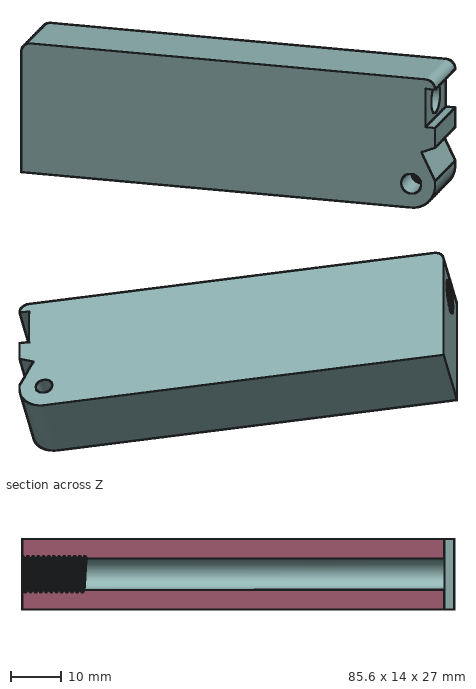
import cadquery as cq
import math

length = 85.6
width = 14.0
height = 27.0
top_radius = 2.0

catch_depth = 2.0
catch_height = 8.0
catch_top = height - top_radius
catch_bottom = catch_top - catch_height
tab_bottom = 12.9
vee_x = 82.8
vee_z = 11.7
flank_end_z = 6.0
pivot_radius = 5.0
pivot_x = length - pivot_radius
pivot_z = pivot_radius

pivot_hole_diameter = 3.3
pivot_counterbore_diameter = 4.1
pivot_counterbore_depth = width / 2

bore_drop = 6.0
bore_z = height - bore_drop
minor_diameter = 6.1
major_diameter = 7.1
thread_pitch = 1.0
thread_turns = 14
groove_mouth = 3 * thread_pitch / 4
groove_root = thread_pitch / 8
groove_overlap = 0.1
groove_lead_turns = 1.9
groove_lead_in = groove_lead_turns * thread_pitch


def on_circle(center_x, center_z, radius, angle):
    """Point on a circle in the XZ plane, angle in radians from +X towards +Z."""
    return (center_x + radius * math.cos(angle), center_z + radius * math.sin(angle))


def make_body():
    """Extrude the side outline with its catch, vee and rounded pivot nose."""
    nose_middle = on_circle(pivot_x, pivot_z, pivot_radius, math.radians(-45))
    left_arc_middle = on_circle(top_radius, catch_top, top_radius, math.radians(135))
    right_arc_middle = on_circle(length - top_radius, catch_top, top_radius, math.radians(45))
    outline = (
        cq.Workplane("XZ")
        .moveTo(0, 0)
        .lineTo(0, catch_top)
        .threePointArc(left_arc_middle, (top_radius, height))
        .lineTo(length - top_radius, height)
        .threePointArc(right_arc_middle, (length, catch_top))
        .lineTo(length - catch_depth, catch_top)
        .lineTo(length - catch_depth, catch_bottom)
        .lineTo(length, catch_bottom)
        .lineTo(length, tab_bottom)
        .lineTo(vee_x, vee_z)
        .lineTo(length, flank_end_z)
        .lineTo(length, pivot_z)
        .threePointArc(nose_middle, (pivot_x, 0))
        .close()
    )
    return outline.extrude(width / 2, both=True)


def make_pivot_hole():
    """Through hole with a wider stretch entering from the -Y face."""
    hole = (
        cq.Workplane("XZ", origin=(pivot_x, width / 2, pivot_z))
        .circle(pivot_hole_diameter / 2)
        .extrude(width)
    )
    counterbore = (
        cq.Workplane("XZ", origin=(pivot_x, -width / 2, pivot_z))
        .circle(pivot_counterbore_diameter / 2)
        .extrude(-pivot_counterbore_depth)
    )
    return hole.union(counterbore)


def make_bore():
    """Plain bore at the thread's minor diameter, running the full length."""
    return cq.Workplane("YZ", origin=(0, 0, bore_z)).circle(minor_diameter / 2).extrude(length)


def helix_line(radius, shift):
    """One turn of a right-hand helix about Z, starting on the +X side at height `shift`."""
    helix = cq.Wire.makeHelix(thread_pitch, thread_pitch, radius, cq.Vector(0, 0, shift))
    return helix.Edges()[0]


def make_groove_turn():
    """One turn of the thread groove about Z, as a solid bounded by ruled helical faces."""
    bore_radius = minor_diameter / 2
    major_radius = major_diameter / 2
    flank_slope = (groove_mouth - groove_root) / 2 / (major_radius - bore_radius)
    inner_radius = bore_radius - groove_overlap
    inner_half = groove_mouth / 2 + groove_overlap * flank_slope
    root_half = groove_root / 2
    corners = [
        (inner_radius, -inner_half),
        (major_radius, -root_half),
        (major_radius, root_half),
        (inner_radius, inner_half),
    ]
    lines = [helix_line(radius, shift) for radius, shift in corners]
    faces = [cq.Face.makeRuledSurface(lines[i - 1], lines[i]) for i in range(len(lines))]
    for end in (0, 1):
        cap_points = [line.positionAt(end) for line in lines]
        faces.append(cq.Face.makeFromWires(cq.Wire.makePolygon(cap_points, close=True)))
    return cq.Solid.makeSolid(cq.Shell.makeShell(faces))


def cut_thread(body):
    """Cut the groove turn by turn along +X, starting ahead of the X = 0 face."""
    turn = make_groove_turn()
    for index in range(thread_turns):
        start = (index * thread_pitch - groove_lead_in, 0, bore_z)
        placement = cq.Plane(origin=start, xDir=(0, 1, 0), normal=(1, 0, 0))
        body = body.cut(cq.Workplane(turn.moved(cq.Location(placement))))
    return body


result = cut_thread(make_body().cut(make_pivot_hole()).cut(make_bore()))